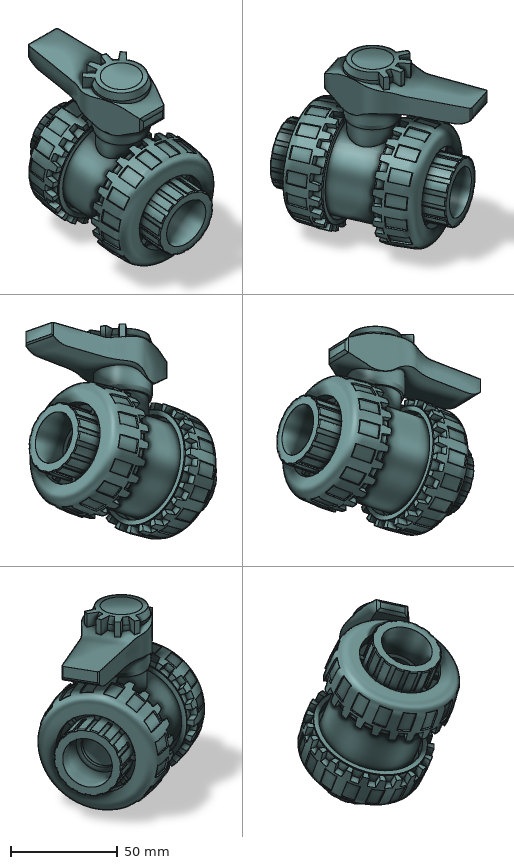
import cadquery as cq


length_between_ends = 90.8
bore_diameter = 20.0

barrel_diameter = 47.7
collar_diameter = 51.2
collar_start = 19.1
seat_position = 25.2
neck_diameter = 24.5
neck_top = 30.9

pipe_radius = 17.2
pipe_end_chamfer = 0.5
socket_diameter = 25.0
socket_depth = 18.1
spline_count = 16
spline_radius = 16.4
spline_width = 2.4
lug_count = 8
lug_width = 2.6
lug_radius = 19.6
lug_front = 32.3
end_face = length_between_ends / 2

nut_hole_diameter = 40.0
nut_face = 34.5
nut_face_diameter = 48.9
nut_lip_back = 29.5
nut_open_end = 13.0
nut_radius = 31.5
nut_shoulder_position = 32.1
nut_shoulder_radius = 29.7
nut_cone_start = 28.8
nut_cone_radius = 30.9
nut_cone_end = 19.4
pocket_count = 16
pocket_angle = 12.4
pocket_start = 20.2
pocket_end = 30.8
pocket_rim_end = 36.3
pocket_rim_radius = 33.2
pocket_start_radius = 30.6
pocket_end_radius = 29.9
tooth_count = 23
tooth_root_position = 18.1
tooth_root_lean = 0.6
tooth_tip_position = 13.7
tooth_base_radius = 28.1
gap_root_width = 4.0
gap_mouth_width = 5.5

hub_radius = 27.9 / 2
hub_bottom_radius = 13.3
hub_chamfer_top = 33.2
cap_cone_bottom = 58.2
cap_top = 61.9
cap_top_radius = 12.6
key_tooth_angles = (135, 165, 195, 225)
key_tooth_tip = 18.3
key_tooth_tip_width = 2.9
key_tooth_root = 12.1
key_tooth_root_width = 3.9
key_tooth_bottom = 53.0

lever_end = -55.3
lever_end_chamfer = 0.6
lever_end_half_width = 9.4
lever_top = 53.0
lever_bottom = 43.0
lever_tip_bottom = 46.6
lever_tip_curve_end = -46.3
grip_end = -24.5
grip_half_width = 11.7
flare_end = -14.1
flare_half_width = 14.6
bulge_middle = -6.3
bulge_half_width = 16.7
bulge_end = -1.4
bulge_end_half_width = 15.9
nose_start = 21.4
nose_half_width = 7.8
lever_nose = 22.3
nose_tip_half_width = 6.0
rise_start = -23.7
rise_end = -18.8
rise_end_height = 53.8
crown_start_height = 56.9
crown_end = 13.1
crown_end_height = 56.1
nose_bottom = 44.9
belly_back = 13.2
belly_back_height = 40.2
belly_front_height = 40.3
belly_start = -11.1

disc_diameter = 19.9
disc_thickness = 2.0


def x_cylinder(diameter, x_start, x_end):
    """Cylinder along the pipe axis between two X positions."""
    return cq.Workplane("YZ").workplane(offset=x_start).circle(diameter / 2).extrude(x_end - x_start)


def spun_about_x(solid, count, first_angle=0.0):
    """One workplane holding count copies of a solid, evenly spaced around the pipe axis."""
    copies = cq.Workplane("XY")
    for index in range(count):
        angle = first_angle + index * 360 / count
        copies = copies.add(solid.rotate((0, 0, 0), (1, 0, 0), angle).vals())
    return copies


def cut_all(solid, cutters):
    return cq.Workplane(solid.val().cut(*cutters.vals()))


def turned_to_far_end(solid):
    """The same solid placed at the -X end of the valve."""
    return solid.rotate((0, 0, 0), (0, 0, 1), 180)


def make_body():
    barrel = x_cylinder(barrel_diameter, -seat_position, seat_position)
    neck = cq.Workplane("XY").circle(neck_diameter / 2).extrude(neck_top)
    body = barrel.union(neck)
    for x_start in (-seat_position, collar_start):
        body = body.union(x_cylinder(collar_diameter, x_start, x_start + seat_position - collar_start))
    return body.cut(x_cylinder(bore_diameter, -seat_position, seat_position))


def make_connector():
    """Connector of the +X end: splined pipe with a flange clamped behind the nut lip."""
    connector = x_cylinder(2 * pipe_radius, seat_position, end_face).faces(">X").chamfer(pipe_end_chamfer)
    connector = connector.union(x_cylinder(collar_diameter, seat_position, nut_lip_back))

    groove = cq.Workplane("XY").box(
        end_face - lug_front, spline_width, pipe_radius, centered=(False, True, False)
    ).translate((lug_front, 0, spline_radius))
    connector = cut_all(connector, spun_about_x(groove, spline_count))

    lug = cq.Workplane("XY").box(
        lug_front - nut_lip_back, lug_width, lug_radius - spline_radius, centered=(False, True, False)
    ).translate((nut_lip_back, 0, spline_radius))
    for copy in spun_about_x(lug, lug_count).vals():
        connector = connector.union(cq.Workplane(copy))

    connector = connector.cut(x_cylinder(socket_diameter, end_face - socket_depth, end_face))
    return connector.cut(x_cylinder(bore_diameter, seat_position, end_face))


def make_nut_shell():
    """Turned shape of the nut with its rounded front, before pockets and tooth gaps."""
    bore_radius = collar_diameter / 2
    return (
        cq.Workplane("XY")
        .moveTo(nut_face, nut_hole_diameter / 2)
        .lineTo(nut_face, nut_face_diameter / 2)
        .threePointArc((33.8, 27.7), (nut_shoulder_position, nut_shoulder_radius))
        .threePointArc((30.6, 30.5), (nut_cone_start, nut_cone_radius))
        .lineTo(nut_cone_end, nut_radius)
        .lineTo(tooth_tip_position, nut_radius)
        .lineTo(tooth_tip_position, tooth_base_radius)
        .lineTo(nut_open_end, tooth_base_radius)
        .lineTo(nut_open_end, bore_radius)
        .lineTo(nut_lip_back, bore_radius)
        .lineTo(nut_lip_back, nut_hole_diameter / 2)
        .close()
        .revolve(360, (0, 0, 0), (1, 0, 0))
    )


def make_grip_pocket():
    """Cutter for a shallow sector-shaped pocket in the nut's outer face, with a sloped front wall."""
    return (
        cq.Workplane("XY")
        .polyline([
            (pocket_start, pocket_start_radius),
            (pocket_end, pocket_end_radius),
            (pocket_rim_end, pocket_rim_radius),
            (pocket_start, pocket_rim_radius),
        ])
        .close()
        .revolve(pocket_angle, (0, 0, 0), (1, 0, 0))
        .rotate((0, 0, 0), (1, 0, 0), -pocket_angle / 2)
    )


def make_tooth_gap():
    """Tapered gap between two teeth, above the tooth base, on the +Y side; its end wall leans."""
    gap = cq.Workplane("XZ", origin=(0, tooth_base_radius, 0))
    for lean, height in ((0, 0), (tooth_root_lean, tooth_base_radius - nut_radius)):
        root = tooth_root_position + lean
        gap = gap.workplane(offset=height).polyline([
            (nut_open_end, -gap_mouth_width / 2),
            (root, -gap_root_width / 2),
            (root, gap_root_width / 2),
            (nut_open_end, gap_mouth_width / 2),
        ]).close()
    return gap.loft(ruled=True).cut(x_cylinder(2 * tooth_base_radius, nut_open_end, nut_lip_back))


def make_nut():
    pocket_pitch = 360 / pocket_count
    nut = cut_all(make_nut_shell(), spun_about_x(make_grip_pocket(), pocket_count, pocket_pitch / 2))
    return cut_all(nut, spun_about_x(make_tooth_gap(), tooth_count))


def make_lever():
    """Lever: its plan outline and its side outline, each extruded and intersected."""
    plan = (
        cq.Workplane("XY")
        .moveTo(lever_end, 0)
        .lineTo(lever_end, lever_end_half_width)
        .lineTo(grip_end, grip_half_width)
        .threePointArc((-18.5, 12.9), (flare_end, flare_half_width))
        .threePointArc((bulge_middle, bulge_half_width), (bulge_end, bulge_end_half_width))
        .lineTo(nose_start, nose_half_width)
        .lineTo(lever_nose, nose_tip_half_width)
        .lineTo(lever_nose, 0)
        .mirrorX()
        .extrude(cap_top)
    )
    side = (
        cq.Workplane("XZ")
        .moveTo(lever_end, lever_top)
        .lineTo(rise_start, lever_top)
        .threePointArc((-21.1, 53.2), (rise_end, rise_end_height))
        .threePointArc((-9.6, 55.7), (bulge_end, crown_start_height))
        .threePointArc((4.5, 57.3), (crown_end, crown_end_height))
        .lineTo(nose_start, lever_top)
        .threePointArc((22.6, 49.1), (nose_start, nose_bottom))
        .lineTo(belly_back, belly_back_height)
        .threePointArc((6.3, 37.7), (bulge_end, belly_front_height))
        .threePointArc((-6.1, 42.3), (belly_start, lever_bottom))
        .lineTo(lever_tip_curve_end, lever_bottom)
        .tangentArcPoint((lever_end, lever_tip_bottom), relative=False)
        .close()
        .extrude(2 * bulge_half_width, both=True)
    )
    lever = plan.intersect(side)
    return lever.faces("<X").edges("not >Z").chamfer(lever_end_chamfer)


def make_hub():
    """Turned hub that stands on the neck, passes through the lever and ends in a conical cap."""
    return (
        cq.Workplane("XZ")
        .polyline([
            (0, neck_top),
            (hub_bottom_radius, neck_top),
            (hub_radius, hub_chamfer_top),
            (hub_radius, cap_cone_bottom),
            (cap_top_radius, cap_top),
            (0, cap_top),
        ])
        .close()
        .revolve(360, (0, 0, 0), (0, 1, 0))
    )


def make_key_tooth(angle):
    """Tapered key tooth that points away from the stem axis at the given angle."""
    return (
        cq.Workplane("XY", origin=(0, 0, key_tooth_bottom))
        .polyline([
            (key_tooth_root, -key_tooth_root_width / 2),
            (key_tooth_tip, -key_tooth_tip_width / 2),
            (key_tooth_tip, key_tooth_tip_width / 2),
            (key_tooth_root, key_tooth_root_width / 2),
        ])
        .close()
        .extrude(cap_top - key_tooth_bottom)
        .rotate((0, 0, 0), (0, 0, 1), angle)
    )


def make_disc():
    disc_bottom = cap_top - disc_thickness
    return cq.Workplane("XY", origin=(0, 0, disc_bottom)).circle(disc_diameter / 2).extrude(disc_thickness)


def make_handle():
    handle = make_lever().union(make_hub())
    for angle in key_tooth_angles:
        handle = handle.union(make_key_tooth(angle))
    return handle.cut(make_disc())


body = make_body()
handle = make_handle()
label_disc = make_disc()
connectors = [make_connector(), turned_to_far_end(make_connector())]

nuts = [make_nut(), turned_to_far_end(make_nut())]

result = cq.Compound.makeCompound(
    [body.val(), handle.val(), label_disc.val()]
    + [connector.val() for connector in connectors]
    + [nut.val() for nut in nuts]
)